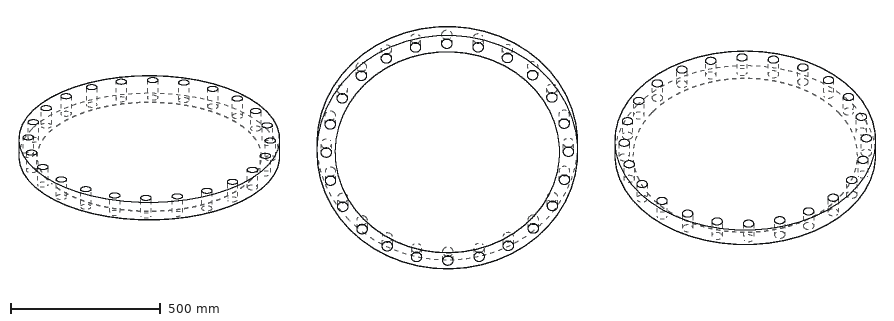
import cadquery as cq

flange_diameter = 870.0
total_thickness = 69.0
raised_face_diameter = 748.0
raised_face_height = 2.0
bolt_circle_diameter = 807.0
bolt_hole_diameter = 35.0
bolt_count = 24

disc_thickness = total_thickness - raised_face_height
disc = (
    cq.Workplane("XY")
    .workplane(offset=raised_face_height)
    .circle(flange_diameter / 2)
    .extrude(disc_thickness)
)
raised_face = cq.Workplane("XY").circle(raised_face_diameter / 2).extrude(raised_face_height)

bolt_holes = (
    cq.Workplane("XY")
    .polarArray(bolt_circle_diameter / 2, 0, 360, bolt_count)
    .circle(bolt_hole_diameter / 2)
    .extrude(total_thickness)
)

result = disc.union(raised_face).cut(bolt_holes)